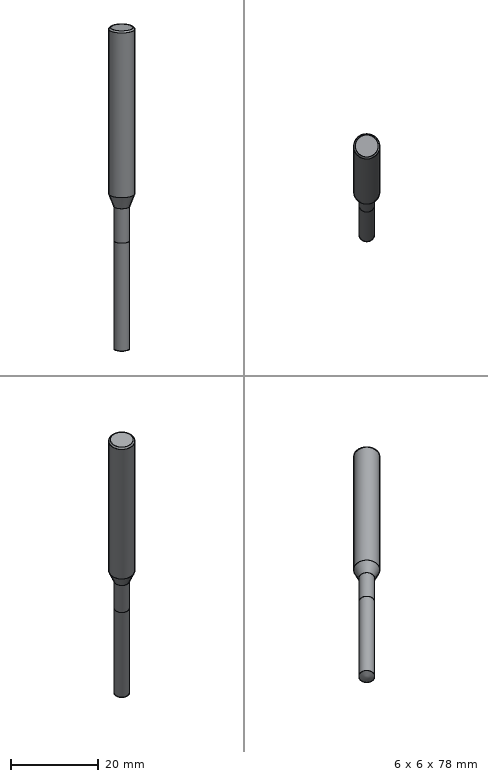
import cadquery as cq

total_length = 78.0
shank_diameter = 6.0
shank_length = 40.0
shank_chamfer = 0.4
taper_length = 3.05
stem_diameter = 3.7
cutter_length = 26.7
tip_height = 0.7

shank_radius = shank_diameter / 2
stem_radius = stem_diameter / 2
shank_bottom = total_length - shank_length
taper_bottom = shank_bottom - taper_length


def revolve_profile(points):
    """Revolve a closed (radius, height) outline around the Z axis."""
    return (
        cq.Workplane("XZ")
        .polyline(points)
        .close()
        .revolve(360, (0, 0, 0), (0, 1, 0))
    )


def make_holder():
    """Chamfered shank that tapers down to a plain neck."""
    return revolve_profile([
        (0, cutter_length),
        (stem_radius, cutter_length),
        (stem_radius, taper_bottom),
        (shank_radius, shank_bottom),
        (shank_radius, total_length - shank_chamfer),
        (shank_radius - shank_chamfer, total_length),
        (0, total_length),
    ])


def make_cutter():
    """Cylindrical cutting section with a conical point at the bottom."""
    return revolve_profile([
        (0, 0),
        (stem_radius, tip_height),
        (stem_radius, cutter_length),
        (0, cutter_length),
    ])


holder = make_holder()
cutter = make_cutter()
result = cq.Compound.makeCompound([holder.val(), cutter.val()])